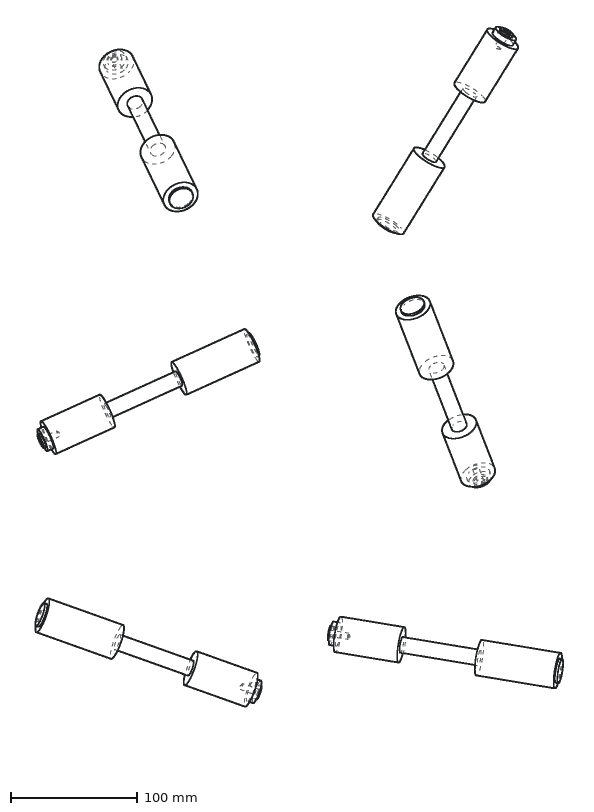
import cadquery as cq
import math

tip_length = 1.7
front_collar_length = 5.1
front_roller_length = 51.8
shaft_length = 63.2
rear_roller_length = 64.2
rear_collar_length = 2.0

tip_diameter = 11.9
front_collar_diameter = 19.05
roller_diameter = 28.6
shaft_diameter = 12.7
rear_collar_diameter = 19.6

hole_diameter = 5.0
hole_mouth_diameter = 6.2
hole_depth = 15.0
drill_point_angle = 118.0

sections = [
    (tip_length, tip_diameter),
    (front_collar_length, front_collar_diameter),
    (front_roller_length, roller_diameter),
    (shaft_length, shaft_diameter),
    (rear_roller_length, roller_diameter),
    (rear_collar_length, rear_collar_diameter),
]
total_length = sum(length for length, _ in sections)
x_start = -total_length / 2


def make_stepped_body():
    """Coaxial cylinders joined end to end along X."""
    body = cq.Workplane("YZ", origin=(x_start, 0, 0))
    for index, (length, diameter) in enumerate(sections):
        if index > 0:
            body = body.faces(">X").workplane()
        body = body.circle(diameter / 2).extrude(length)
    return body


def make_centre_hole():
    """Countersunk drill shape with a conical bottom, revolved about X."""
    hole_radius = hole_diameter / 2
    mouth_radius = hole_mouth_diameter / 2
    countersink_depth = mouth_radius - hole_radius
    point_length = hole_radius / math.tan(math.radians(drill_point_angle / 2))
    return (
        cq.Workplane("XY", origin=(x_start, 0, 0))
        .lineTo(0, mouth_radius)
        .lineTo(countersink_depth, hole_radius)
        .lineTo(hole_depth, hole_radius)
        .lineTo(hole_depth + point_length, 0)
        .close()
        .revolve(360, (0, 0, 0), (1, 0, 0))
    )


result = make_stepped_body().cut(make_centre_hole())